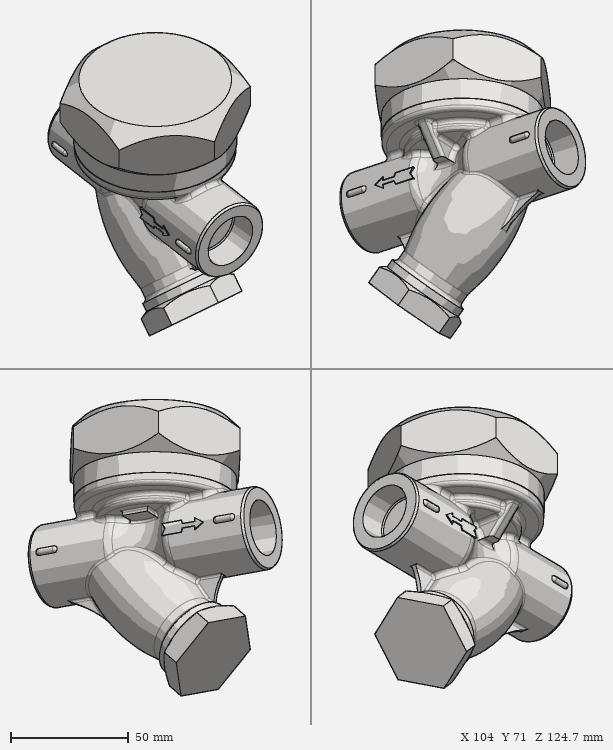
import cadquery as cq
import math

EDGE_SAMPLE = 0.37
SKIN_TOLERANCE = 1e-3

PIPE_LENGTH = 104.0
PIPE_RADIUS = 18.0
EMBED = 0.5
PIPE_CHAMFER_LENGTH = 1.2
PIPE_CHAMFER_DEPTH = 0.6
SOCKET_RADIUS = 12.0
SOCKET_DEPTH = 13.0
SOCKET_FLOOR_CHAMFER = 0.6

WAIST_HALF_LENGTH = 15.5
WAIST_HOLLOW_HALF_LENGTH = 11.9
WAIST_HOLLOW_RADIUS = 18.5

CAP_TOP = 55.2
CAP_BOTTOM = 30.7
CAP_ACROSS_FLATS = 71.0
CAP_TOP_RADIUS = 32.5
COLLAR_BOTTOM = 21.4
COLLAR_RADIUS = 69.5 / 2
FLANGE_BOTTOM = 16.3
FLANGE_RADIUS = 69.0 / 2
FLANGE_EDGE_ROUND = 2.0
STEP_BOTTOM = 11.5
STEP_RADIUS = 25.0
STEP_EDGE_ROUND = 1.7
CAST_ROUND = 2.0

PAD_WIDTH = 12.0
PAD_BOTTOM = 9.5
PAD_REACH = 18.4
PAD_ROUND = 0.7
REAR_RIB_THICKNESS = 6.0
REAR_RIB_TOP_REACH = 30.0
REAR_RIB_FOOT_REACH = 18.5
REAR_RIB_FOOT_HEIGHT = 3.0
REAR_RIB_EDGE_ROUND = 1.5

BRANCH_ANGLE = 45.0
BRANCH_AXIS_OFFSET = -26.0
BRANCH_START = -12.0
BARREL_MIDDLE = 17.0
BARREL_MIDDLE_RADIUS = 19.3
NECK_START = 38.2
NECK_END = 41.9
NECK_RADIUS = 16.5
PLUG_FLANGE_START = 44.3
PLUG_FLANGE_RADIUS = 37.0 / 2
PLUG_HEX_START = 48.0
PLUG_HEX_END = 58.0
PLUG_ACROSS_FLATS = 38.0
PLUG_CHAMFER_ANGLE = 30.0

WEB_THICKNESS = 2.0
WEB_ROUND = 1.2
WEB_TOP = EMBED - PIPE_RADIUS
WEB_LEFT_PIPE_X = -42.0
WEB_LEFT_BEND = (-30.6, -23.5)
WEB_LEFT_BRANCH_END = (-17.0, -35.5)
WEB_LEFT_INNER_X = -10.0
WEB_LEFT_INNER_Z = -20.0
WEB_RIGHT_PIPE_X = 33.0
WEB_RIGHT_BEND = (30.5, -22.5)
WEB_RIGHT_BRANCH_END = (28.8, -29.8)
WEB_RIGHT_INNER = (20.0, -29.0)
WEB_RIGHT_CORNER_X = 10.0

PIP_RADIUS = 1.6
PIP_LENGTH = 10.3
PIP_CENTER_X = 42.8
PIP_CENTER_Y = 17.7

ARROW_TAIL = 12.9
ARROW_NOTCH = 1.6
ARROW_VANE_END = 22.2
ARROW_SHAFT_START = 22.9
ARROW_HEAD_START = 28.7
ARROW_TIP = 32.9
ARROW_HALF_WIDTH = 2.7
ARROW_SHAFT_HALF_WIDTH = 1.0
ARROW_HEIGHT = 0.5


def hex_corner_radius(across_flats):
    return across_flats / math.sqrt(3)


def skin(part):
    return cq.Compound.makeCompound(part.faces().vals())


def joint_edges(joined, first, second):
    """Edges of the joined solid that lie on the skins of both parts."""
    first_skin = skin(first)
    second_skin = skin(second)
    edges = []
    for edge in joined.edges().vals():
        point = cq.Vertex.makeVertex(*edge.positionAt(EDGE_SAMPLE).toTuple())
        if second_skin.distance(point) > SKIN_TOLERANCE:
            continue
        if first_skin.distance(point) < SKIN_TOLERANCE:
            edges.append(edge)
    return edges


def join_rounded(first, second, radius):
    """Union of two parts with a fillet along the line where they meet."""
    joined = first.union(second)
    return joined.newObject(joint_edges(joined, first, second)).fillet(radius)


def join_web(body, web):
    """Union with a web, filleted along both of its sides but not across its thin ends."""
    joined = body.union(web)
    seam = joint_edges(joined, body, web)
    side_edges = [edge for edge in seam if abs(edge.Center().y) > WEB_THICKNESS / 2 - SKIN_TOLERANCE]
    return joined.newObject(side_edges).fillet(WEB_ROUND)


def make_pipe():
    """Pipe with chamfered ends and a hollowed waist, revolved about X."""
    half = PIPE_LENGTH / 2
    slope = math.asin(WAIST_HOLLOW_HALF_LENGTH / WAIST_HOLLOW_RADIUS)
    shoulder_radius = (WAIST_HALF_LENGTH - WAIST_HOLLOW_HALF_LENGTH) / math.sin(slope)
    change_radius = PIPE_RADIUS - shoulder_radius * (1 - math.cos(slope))
    waist_radius = change_radius - WAIST_HOLLOW_RADIUS * (1 - math.cos(slope))
    shoulder_mid_x = WAIST_HALF_LENGTH - shoulder_radius * math.sin(slope / 2)
    shoulder_mid_radius = PIPE_RADIUS - shoulder_radius * (1 - math.cos(slope / 2))
    profile = (
        cq.Workplane("XY")
        .moveTo(-half, 0)
        .lineTo(-half, PIPE_RADIUS - PIPE_CHAMFER_DEPTH)
        .lineTo(-half + PIPE_CHAMFER_LENGTH, PIPE_RADIUS)
        .lineTo(-WAIST_HALF_LENGTH, PIPE_RADIUS)
        .threePointArc((-shoulder_mid_x, shoulder_mid_radius), (-WAIST_HOLLOW_HALF_LENGTH, change_radius))
        .threePointArc((0, waist_radius), (WAIST_HOLLOW_HALF_LENGTH, change_radius))
        .threePointArc((shoulder_mid_x, shoulder_mid_radius), (WAIST_HALF_LENGTH, PIPE_RADIUS))
        .lineTo(half - PIPE_CHAMFER_LENGTH, PIPE_RADIUS)
        .lineTo(half, PIPE_RADIUS - PIPE_CHAMFER_DEPTH)
        .lineTo(half, 0)
        .close()
    )
    return profile.revolve(360, (0, 0, 0), (1, 0, 0))


def make_sockets():
    """Blind bores in both pipe ends, with a chamfer round each floor."""
    half = PIPE_LENGTH / 2
    bore = cq.Workplane("YZ", origin=(-half, 0, 0)).circle(SOCKET_RADIUS).extrude(SOCKET_DEPTH)
    bore = bore.faces(">X").chamfer(SOCKET_FLOOR_CHAMFER)
    return bore.union(bore.mirror("YZ"))


def make_flange():
    """Round flange below the cap collar, with a rounded lower edge."""
    return (
        cq.Workplane("XY", origin=(0, 0, FLANGE_BOTTOM))
        .circle(FLANGE_RADIUS)
        .extrude(COLLAR_BOTTOM - FLANGE_BOTTOM)
        .faces("<Z")
        .edges()
        .fillet(FLANGE_EDGE_ROUND)
    )


def make_step():
    """Smaller round step below the flange, with a rounded lower edge."""
    return (
        cq.Workplane("XY", origin=(0, 0, STEP_BOTTOM))
        .circle(STEP_RADIUS)
        .extrude(COLLAR_BOTTOM - STEP_BOTTOM)
        .faces("<Z")
        .edges()
        .fillet(STEP_EDGE_ROUND)
    )


def make_cap():
    """Hexagonal cap, conical at the top and bottom, on a round collar."""
    corner = hex_corner_radius(CAP_ACROSS_FLATS)
    top_run = corner - CAP_TOP_RADIUS
    bottom_run = corner - COLLAR_RADIUS
    hexagon = (
        cq.Workplane("XY", origin=(0, 0, CAP_BOTTOM))
        .polygon(6, 2 * corner)
        .extrude(CAP_TOP - CAP_BOTTOM)
    )
    cones = (
        cq.Workplane("XZ")
        .moveTo(0, CAP_BOTTOM)
        .lineTo(COLLAR_RADIUS, CAP_BOTTOM)
        .lineTo(corner, CAP_BOTTOM + bottom_run)
        .lineTo(corner, CAP_TOP - top_run)
        .lineTo(CAP_TOP_RADIUS, CAP_TOP)
        .lineTo(0, CAP_TOP)
        .close()
        .revolve(360, (0, 0, 0), (0, 1, 0))
    )
    collar = (
        cq.Workplane("XY", origin=(0, 0, COLLAR_BOTTOM))
        .circle(COLLAR_RADIUS)
        .extrude(CAP_BOTTOM - COLLAR_BOTTOM)
    )
    return hexagon.intersect(cones).union(collar)


def place_on_branch(shape):
    """Turn a shape built along +Z onto the branch axis, which points to +X and -Z."""
    turned = shape.rotate((0, 0, 0), (0, 1, 0), 180 - BRANCH_ANGLE)
    return turned.translate((BRANCH_AXIS_OFFSET / 2, 0, BRANCH_AXIS_OFFSET / 2))


def make_barrel():
    """Bulged branch body that ends in a straight neck."""
    bulge = BARREL_MIDDLE_RADIUS - NECK_RADIUS
    half_chord = NECK_START - BARREL_MIDDLE
    arc_radius = (half_chord**2 + bulge**2) / (2 * bulge)
    start_drop = arc_radius - math.sqrt(arc_radius**2 - (BARREL_MIDDLE - BRANCH_START) ** 2)
    barrel = (
        cq.Workplane("XZ")
        .moveTo(0, BRANCH_START)
        .lineTo(BARREL_MIDDLE_RADIUS - start_drop, BRANCH_START)
        .threePointArc((BARREL_MIDDLE_RADIUS, BARREL_MIDDLE), (NECK_RADIUS, NECK_START))
        .lineTo(NECK_RADIUS, NECK_END)
        .lineTo(0, NECK_END)
        .close()
        .revolve(360, (0, 0, 0), (0, 1, 0))
    )
    return place_on_branch(barrel)


def make_plug():
    """Flared flange and hexagonal plug that close the branch."""
    flare = PLUG_FLANGE_RADIUS - NECK_RADIUS
    flare_mid = flare * math.sqrt(0.5)
    flange = (
        cq.Workplane("XZ")
        .moveTo(0, NECK_END)
        .lineTo(NECK_RADIUS, NECK_END)
        .lineTo(NECK_RADIUS, PLUG_FLANGE_START - flare)
        .threePointArc(
            (PLUG_FLANGE_RADIUS - flare_mid, PLUG_FLANGE_START - flare + flare_mid),
            (PLUG_FLANGE_RADIUS, PLUG_FLANGE_START),
        )
        .lineTo(PLUG_FLANGE_RADIUS, PLUG_HEX_START)
        .lineTo(0, PLUG_HEX_START)
        .close()
        .revolve(360, (0, 0, 0), (0, 1, 0))
    )
    corner = hex_corner_radius(PLUG_ACROSS_FLATS)
    chamfer_rise = (corner - PLUG_FLANGE_RADIUS) * math.tan(math.radians(PLUG_CHAMFER_ANGLE))
    hexagon = (
        cq.Workplane("XY", origin=(0, 0, PLUG_HEX_START))
        .polygon(6, 2 * corner)
        .extrude(PLUG_HEX_END - PLUG_HEX_START)
    )
    cone = (
        cq.Workplane("XZ")
        .moveTo(0, PLUG_HEX_START)
        .lineTo(PLUG_FLANGE_RADIUS, PLUG_HEX_START)
        .lineTo(corner, PLUG_HEX_START + chamfer_rise)
        .lineTo(corner, PLUG_HEX_END)
        .lineTo(0, PLUG_HEX_END)
        .close()
        .revolve(360, (0, 0, 0), (0, 1, 0))
    )
    return place_on_branch(flange.union(hexagon.intersect(cone)))


def make_pad():
    """Short pad below the step on the -Y side."""
    return (
        cq.Workplane("XY", origin=(0, 0, PAD_BOTTOM))
        .center(0, -PAD_REACH / 2)
        .rect(PAD_WIDTH, PAD_REACH)
        .extrude(FLANGE_BOTTOM - PAD_BOTTOM)
    )


def make_rear_rib():
    """Sloping rib from the flange down to the pipe on the +Y side, with rounded outer edges."""
    rib = (
        cq.Workplane("YZ")
        .moveTo(0, FLANGE_BOTTOM)
        .lineTo(REAR_RIB_TOP_REACH, FLANGE_BOTTOM)
        .lineTo(REAR_RIB_FOOT_REACH, REAR_RIB_FOOT_HEIGHT)
        .lineTo(0, REAR_RIB_FOOT_HEIGHT)
        .close()
        .extrude(REAR_RIB_THICKNESS / 2, both=True)
    )
    slope_middle = (
        0,
        (REAR_RIB_TOP_REACH + REAR_RIB_FOOT_REACH) / 2,
        (FLANGE_BOTTOM + REAR_RIB_FOOT_HEIGHT) / 2,
    )
    slope = rib.faces(cq.NearestToPointSelector(slope_middle))
    return slope.edges("not |X").fillet(REAR_RIB_EDGE_ROUND)


def make_web(pipe_end, bend, branch_end, inner_points):
    """Thin web in the XZ plane; its free edge is an arc from the pipe to the branch."""
    outline = cq.Workplane("XZ").moveTo(*pipe_end).threePointArc(bend, branch_end)
    for point in inner_points:
        outline = outline.lineTo(*point)
    return outline.close().extrude(WEB_THICKNESS / 2, both=True)


def make_left_web():
    """Web under the pipe that runs out along the lower side of the branch."""
    inner_points = [(WEB_LEFT_INNER_X, WEB_LEFT_INNER_Z), (WEB_LEFT_INNER_X, WEB_TOP)]
    return make_web((WEB_LEFT_PIPE_X, WEB_TOP), WEB_LEFT_BEND, WEB_LEFT_BRANCH_END, inner_points)


def make_right_web():
    """Web in the corner between the pipe and the upper side of the branch."""
    inner_points = [WEB_RIGHT_INNER, (WEB_RIGHT_CORNER_X, WEB_TOP)]
    return make_web((WEB_RIGHT_PIPE_X, WEB_TOP), WEB_RIGHT_BEND, WEB_RIGHT_BRANCH_END, inner_points)


def make_pip(center_x, side):
    """Capsule half sunk into the pipe side."""
    half = PIP_LENGTH / 2
    straight_half = half - PIP_RADIUS
    bend = PIP_RADIUS * math.sqrt(0.5)
    profile = (
        cq.Workplane("XY", origin=(center_x, side * PIP_CENTER_Y, 0))
        .moveTo(-half, 0)
        .threePointArc((-straight_half - bend, bend), (-straight_half, PIP_RADIUS))
        .lineTo(straight_half, PIP_RADIUS)
        .threePointArc((straight_half + bend, bend), (half, 0))
        .close()
    )
    return profile.revolve(360, (0, 0, 0), (1, 0, 0))


def make_arrows():
    """Flow arrows raised from both sides of the pipe."""
    upper = [
        (ARROW_TAIL, ARROW_HALF_WIDTH),
        (ARROW_VANE_END, ARROW_HALF_WIDTH),
        (ARROW_SHAFT_START, ARROW_SHAFT_HALF_WIDTH),
        (ARROW_HEAD_START, ARROW_SHAFT_HALF_WIDTH),
        (ARROW_HEAD_START, ARROW_HALF_WIDTH),
    ]
    lower = [(x, -z) for x, z in reversed(upper)]
    outline = upper + [(ARROW_TIP, 0)] + lower + [(ARROW_TAIL + ARROW_NOTCH, 0)]
    reach = PIPE_RADIUS + ARROW_HEIGHT
    prism = cq.Workplane("XZ").polyline(outline).close().extrude(reach, both=True)
    shell = cq.Workplane("YZ").circle(reach).circle(PIPE_RADIUS - EMBED).extrude(PIPE_LENGTH / 2)
    return prism.intersect(shell)


def make_body():
    """Cast body: pipe, seat and branch blended together, with ribs, webs and pad."""
    pipe = make_pipe()
    flange = make_flange()
    step = make_step()
    seat = flange.union(step)
    joined = pipe.union(seat)
    seams = joint_edges(joined, pipe, seat) + joint_edges(joined, flange, step)
    body = joined.newObject(seams).fillet(CAST_ROUND)
    body = join_rounded(body, make_barrel(), CAST_ROUND)
    body = join_web(body, make_left_web())
    body = join_web(body, make_right_web())
    body = join_rounded(body, make_pad(), PAD_ROUND)
    return join_rounded(body, make_rear_rib(), CAST_ROUND)


def add_markings(body):
    """Raised capsules and flow arrows on both sides of the pipe."""
    for side in (-1, 1):
        for center_x in (-PIP_CENTER_X, PIP_CENTER_X):
            body = body.union(make_pip(center_x, side))
    return body.union(make_arrows())


result = add_markings(make_body()).union(make_cap()).union(make_plug()).cut(make_sockets())